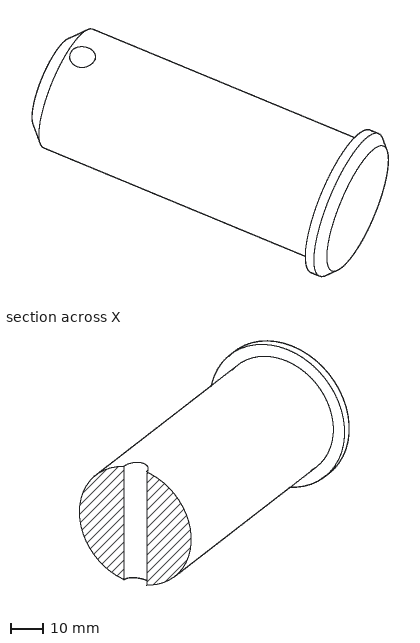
import cadquery as cq

shank_diameter = 40.0
shank_length = 100.0
tip_chamfer = 5.0

head_diameter = 48.0
head_thickness = 6.0
head_chamfer = 3.0

cotter_hole_diameter = 8.0
cotter_hole_from_tip = 10.0


def make_shank():
    """Cylinder along +X, chamfered at the tip."""
    shank = cq.Workplane("YZ").circle(shank_diameter / 2).extrude(shank_length)
    return shank.faces("<X").chamfer(tip_chamfer)


def make_head():
    """Larger disc at the end of the shank, chamfered on its outer face."""
    head = cq.Workplane("YZ", origin=(shank_length, 0, 0))
    head = head.circle(head_diameter / 2).extrude(head_thickness)
    return head.faces(">X").chamfer(head_chamfer)


def make_cotter_hole():
    """Cutter along Z that passes right through the shank near its tip."""
    cutter = cq.Workplane("XY").center(cotter_hole_from_tip, 0)
    return cutter.circle(cotter_hole_diameter / 2).extrude(shank_diameter, both=True)


result = make_shank().union(make_head()).cut(make_cotter_hole())